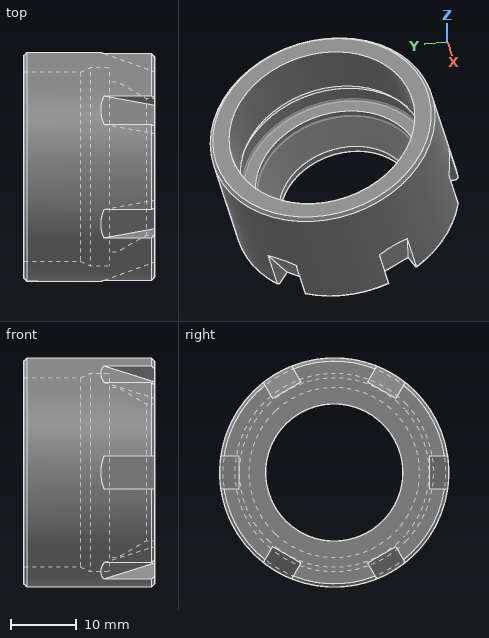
import cadquery as cq
import math

length = 20.0
outer_radius = 35.0 / 2
edge_chamfer = 0.5

bore_radius = 28.92 / 2
bore_depth = 8.7
relief_radius = 30.3 / 2
relief_flare_length = 1.5
shoulder_depth = 13.1
seat_radius = 26.0 / 2
seat_end = 14.3
exit_radius = 20.9 / 2
cone_half_angle = 30.0

corner_radius = 0.3

slot_count = 6
slot_width = 5.0
slot_end_depth = 3.0
slot_floor_angle = 20.0


def run_for_rise(rise, angle):
    """Axial length over which a slope at this angle to the axis rises by the given amount."""
    return rise / math.tan(math.radians(angle))


def make_body():
    """Turned ring, its half section revolved about the X axis."""
    relief_start = bore_depth + relief_flare_length
    cone_end = seat_end + run_for_rise(seat_radius - exit_radius, cone_half_angle)
    fillet_offset = corner_radius * (1 - math.sqrt(0.5))
    cone_slope = math.radians(cone_half_angle)
    blend_length = corner_radius * math.tan(cone_slope / 2)
    blend_start = seat_end - blend_length
    blend_centre_radius = seat_radius - corner_radius

    def blend_point(angle):
        """Point on the arc between seat and cone, at this turn from the start of the arc."""
        return (
            blend_start + corner_radius * math.sin(angle),
            blend_centre_radius + corner_radius * math.cos(angle),
        )

    half_section = (
        cq.Workplane("XY")
        .moveTo(0, bore_radius)
        .lineTo(bore_depth, bore_radius)
        .lineTo(relief_start, relief_radius)
        .lineTo(shoulder_depth - corner_radius, relief_radius)
        .threePointArc(
            (shoulder_depth - fillet_offset, relief_radius - fillet_offset),
            (shoulder_depth, relief_radius - corner_radius),
        )
        .lineTo(shoulder_depth, seat_radius)
        .lineTo(blend_start, seat_radius)
        .threePointArc(blend_point(cone_slope / 2), blend_point(cone_slope))
        .lineTo(cone_end, exit_radius)
        .lineTo(length, exit_radius)
        .lineTo(length, outer_radius - edge_chamfer)
        .lineTo(length - edge_chamfer, outer_radius)
        .lineTo(edge_chamfer, outer_radius)
        .lineTo(0, outer_radius - edge_chamfer)
        .close()
    )
    return half_section.revolve(360, (0, 0, 0), (1, 0, 0))


def make_slot_cutter():
    """Wedge on the -Y side whose floor slopes towards the axis at the far end."""
    slot_start = length - run_for_rise(slot_end_depth, slot_floor_angle)
    return (
        cq.Workplane("XY")
        .moveTo(slot_start, -outer_radius)
        .lineTo(length, -outer_radius)
        .lineTo(length, slot_end_depth - outer_radius)
        .close()
        .extrude(slot_width / 2, both=True)
    )


def cut_slots(body):
    """Cut the spanner slots, evenly spaced about the X axis."""
    cutter = make_slot_cutter()
    for index in range(slot_count):
        angle = index * 360 / slot_count
        body = body.cut(cutter.rotate((0, 0, 0), (1, 0, 0), angle))
    return body


result = cut_slots(make_body())